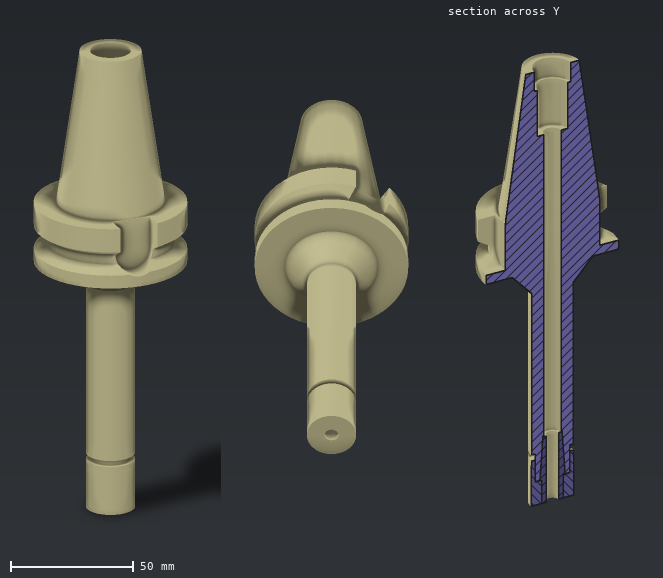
import cadquery as cq

TOTAL_LENGTH = 200.5

TAPER_LENGTH = 65.3
GAUGE_RADIUS = 22.2
TAPER_RATIO = 7 / 24
TAPER_TOP_RADIUS = GAUGE_RADIUS - TAPER_RATIO * TAPER_LENGTH / 2
DRAWBAR_BORE_RADIUS = 8.5
DRAWBAR_BORE_DEPTH = 8.8
THREAD_BORE_RADIUS = 7.0
THREAD_BORE_DEPTH = 30.0
COOLANT_BORE_RADIUS = 4.0

FLANGE_RADIUS = 31.5
GROOVE_RADIUS = 26.5
FLANGE_TOP_Z = -1.0
UPPER_RIM_END_Z = -11.2
GROOVE_TOP_Z = -14.2
GROOVE_BOTTOM_Z = -18.5
LOWER_RIM_START_Z = -21.5
FLANGE_BOTTOM_Z = -27.0

SLOT_HALF_WIDTH = 8.2
SLOT_FLOOR_X = 22.5
SLOT_BOTTOM_Z = -22.6

CONE_TOP_RADIUS = 19.0
CONE_BOTTOM_Z = -36.7
SHANK_RADIUS = 10.0
SHANK_END_Z = -111.5
SPIGOT_RADIUS = 8.2
SPIGOT_END_Z = -124.2

NUT_TOP_Z = -114.0
NUT_COLLAR_HEIGHT = 2.5
NUT_COLLAR_RADIUS = SHANK_RADIUS
NUT_STEP = 0.1
NUT_RADIUS = NUT_COLLAR_RADIUS + NUT_STEP
NUT_BOTTOM_Z = TAPER_LENGTH - TOTAL_LENGTH

COLLET_TOP_Z = -104.2
COLLET_TOP_RADIUS = 4.5
COLLET_LARGE_RADIUS = 5.8
COLLET_NOSE_RADIUS = 5.0
COLLET_BORE_RADIUS = 2.8


def revolved(profile):
    """Turn a closed (radius, z) outline about the Z axis."""
    return cq.Workplane("XZ").polyline(profile).close().revolve(360, (0, 0, 0), (0, 1, 0))


def cylinder(radius, bottom_z, top_z):
    return cq.Workplane("XY").workplane(offset=bottom_z).circle(radius).extrude(top_z - bottom_z)


def drive_slot():
    """Round-ended cutter for the slot on the +X side."""
    arc_center_z = SLOT_BOTTOM_Z + SLOT_HALF_WIDTH
    return (
        cq.Workplane("YZ", origin=(SLOT_FLOOR_X, 0, 0))
        .moveTo(-SLOT_HALF_WIDTH, FLANGE_TOP_Z)
        .lineTo(-SLOT_HALF_WIDTH, arc_center_z)
        .threePointArc((0, SLOT_BOTTOM_Z), (SLOT_HALF_WIDTH, arc_center_z))
        .lineTo(SLOT_HALF_WIDTH, FLANGE_TOP_Z)
        .close()
        .extrude(FLANGE_RADIUS - SLOT_FLOOR_X)
    )


def collet_outside():
    """Outer shape of the collet, which also forms its seat."""
    return revolved([
        (0, COLLET_TOP_Z),
        (COLLET_TOP_RADIUS, COLLET_TOP_Z),
        (COLLET_LARGE_RADIUS, SPIGOT_END_Z),
        (COLLET_NOSE_RADIUS, SPIGOT_END_Z),
        (COLLET_NOSE_RADIUS, NUT_BOTTOM_Z),
        (0, NUT_BOTTOM_Z),
    ])


def make_holder():
    holder = revolved([
        (0, TAPER_LENGTH),
        (TAPER_TOP_RADIUS, TAPER_LENGTH),
        (GAUGE_RADIUS, 0),
        (GAUGE_RADIUS, FLANGE_TOP_Z),
        (FLANGE_RADIUS, FLANGE_TOP_Z),
        (FLANGE_RADIUS, UPPER_RIM_END_Z),
        (GROOVE_RADIUS, GROOVE_TOP_Z),
        (GROOVE_RADIUS, GROOVE_BOTTOM_Z),
        (FLANGE_RADIUS, LOWER_RIM_START_Z),
        (FLANGE_RADIUS, FLANGE_BOTTOM_Z),
        (CONE_TOP_RADIUS, FLANGE_BOTTOM_Z),
        (SHANK_RADIUS, CONE_BOTTOM_Z),
        (SHANK_RADIUS, SHANK_END_Z),
        (SPIGOT_RADIUS, SHANK_END_Z),
        (SPIGOT_RADIUS, SPIGOT_END_Z),
        (0, SPIGOT_END_Z),
    ])

    holder = holder.cut(cylinder(DRAWBAR_BORE_RADIUS, TAPER_LENGTH - DRAWBAR_BORE_DEPTH, TAPER_LENGTH))
    holder = holder.cut(cylinder(THREAD_BORE_RADIUS, TAPER_LENGTH - THREAD_BORE_DEPTH, TAPER_LENGTH))
    holder = holder.cut(cylinder(COOLANT_BORE_RADIUS, SPIGOT_END_Z, TAPER_LENGTH))
    holder = holder.cut(collet_outside())

    for angle in (0, 180):
        holder = holder.cut(drive_slot().rotate((0, 0, 0), (0, 0, 1), angle))
    return holder


def make_nut():
    collar_bottom_z = NUT_TOP_Z - NUT_COLLAR_HEIGHT
    return revolved([
        (SPIGOT_RADIUS, NUT_TOP_Z),
        (NUT_COLLAR_RADIUS, NUT_TOP_Z),
        (NUT_COLLAR_RADIUS, collar_bottom_z),
        (NUT_RADIUS, collar_bottom_z),
        (NUT_RADIUS, NUT_BOTTOM_Z),
        (COLLET_NOSE_RADIUS, NUT_BOTTOM_Z),
        (COLLET_NOSE_RADIUS, SPIGOT_END_Z),
        (SPIGOT_RADIUS, SPIGOT_END_Z),
    ])


def make_collet():
    return collet_outside().cut(cylinder(COLLET_BORE_RADIUS, NUT_BOTTOM_Z, COLLET_TOP_Z))


holder = make_holder()
nut = make_nut()
collet = make_collet()

result = cq.Compound.makeCompound([
    holder.solids().val(),
    nut.solids().val(),
    collet.solids().val(),
])